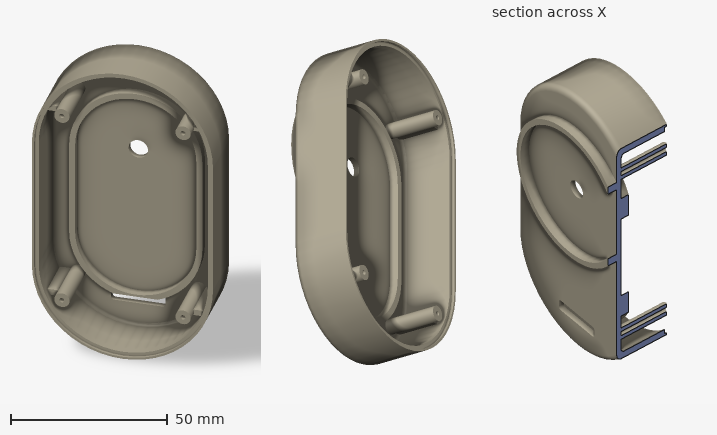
import cadquery as cq

length = 105.0
width = 60.0
shell_depth = 20.7
back_edge_radius = 2.0
wall = 2.0
floor_thickness = 2.0
floor_y = shell_depth - floor_thickness
mid_floor_y = floor_y + floor_thickness / 2
floor_fillet = 1.0

lip_wall = 0.7
lip_depth = 1.0

ring_diameter = 52.5
ring_wall = 2.0
ring_inner_diameter = ring_diameter - 2 * ring_wall
ring_back_y = 24.2
ring_z = 14.5
cable_hole_diameter = 6.4

ridge_inner_width = 40.1
ridge_inner_length = 72.1
ridge_wall = 2.0
ridge_height = 3.0
ridge_z = -1.6

slot_width = 18.1
slot_height = 4.1
slot_z = -40.4
slot_corner_radius = 1.0

boss_diameter = 5.0
boss_hole_diameter = 1.6
boss_x = 20.1
boss_z = 34.0
boss_front_y = 0.0
web_thickness = 2.0
web_front_y = 4.0


def plane_at(y):
    """XZ plane at the given Y whose extrusions run toward +Y."""
    return cq.Workplane(cq.Plane(origin=(0, y, 0), xDir=(-1, 0, 0), normal=(0, 1, 0)))


def oval(oval_width, oval_length, y_start, y_end, z=0):
    """Upright prism with straight sides and semicircular ends."""
    return plane_at(y_start).center(0, z).slot2D(oval_length, oval_width, 90).extrude(y_end - y_start)


def cylinder(diameter, x, z, y_start, y_end):
    return plane_at(y_start).center(-x, z).circle(diameter / 2).extrude(y_end - y_start)


def make_shell():
    body = oval(width, length, 0, shell_depth).faces(">Y").edges().fillet(back_edge_radius)
    cavity = oval(width - 2 * wall, length - 2 * wall, 0, floor_y)
    cavity = cavity.faces(">Y").edges().fillet(floor_fillet)
    lip_seat = oval(width - 2 * lip_wall, length - 2 * lip_wall, 0, lip_depth)
    return body.cut(cavity).cut(lip_seat)


def make_ridge():
    front_y = floor_y - ridge_height
    outer = oval(
        ridge_inner_width + 2 * ridge_wall, ridge_inner_length + 2 * ridge_wall, front_y, floor_y, ridge_z
    )
    inner = oval(ridge_inner_width, ridge_inner_length, front_y, floor_y, ridge_z)
    return outer.cut(inner)


def make_slot():
    slot = plane_at(0).center(0, slot_z).rect(slot_width, slot_height).extrude(shell_depth)
    return slot.edges("|Y").fillet(slot_corner_radius)


def make_web(side, z):
    """Web from a boss centre outward, trimmed halfway into the housing wall."""
    reach = width / 2 - boss_x
    web = (
        plane_at(web_front_y)
        .center(-side * (boss_x + reach / 2), z)
        .rect(reach, web_thickness)
        .extrude(mid_floor_y - web_front_y)
    )
    return web.intersect(oval(width - wall, length - wall, 0, shell_depth))


def make_back_ring():
    """Open ring on the back, rooted halfway into the floor."""
    ring = cylinder(ring_diameter, 0, ring_z, mid_floor_y, ring_back_y)
    return ring.cut(cylinder(ring_inner_diameter, 0, ring_z, mid_floor_y, ring_back_y))


result = make_shell().union(make_ridge()).union(make_back_ring())
result = result.cut(make_slot())
result = result.cut(cylinder(cable_hole_diameter, 0, ring_z, 0, shell_depth))

for side in (-1, 1):
    for z in (-boss_z, boss_z):
        result = result.union(make_web(side, z))
        result = result.union(cylinder(boss_diameter, side * boss_x, z, boss_front_y, mid_floor_y))
        result = result.cut(cylinder(boss_hole_diameter, side * boss_x, z, boss_front_y, floor_y))